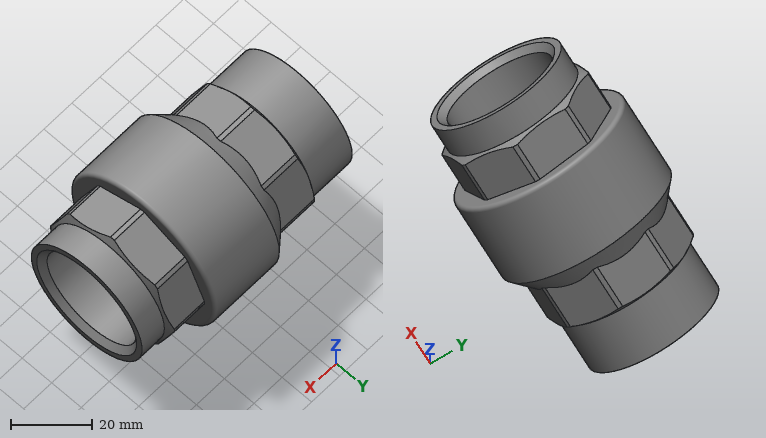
import cadquery as cq
import math

length = 75.0
left_nut_start = 14.5
cone_end = 32.1
body_end = 55.05
right_nut_end = 67.05

tube_radius = 18.75
body_radius = 24.5
cone_angle = 40.0
body_edge_radius = 1.1
nut_sides = 8
nut_flat_distance = 19.6
nut_corner_radius = 20.9
nut_chamfer_angle = 60.0

socket_radius = 15.1
socket_depth = 24.0
socket_chamfer = 1.8
bore_radius = 13.05


def revolve_profile(points):
    """Revolve (axial position, radius) points around the X axis."""
    return cq.Workplane("XY").polyline(points).close().revolve(360, (0, 0, 0), (1, 0, 0))


def make_nuts():
    """Octagonal bar with turned corners and both ends chamfered down to the tube."""
    corner_distance = nut_flat_distance / math.cos(math.pi / nut_sides)
    octagon = [
        (
            corner_distance * math.cos(2 * math.pi * i / nut_sides),
            corner_distance * math.sin(2 * math.pi * i / nut_sides),
        )
        for i in range(nut_sides)
    ]
    bar = (
        cq.Workplane("YZ", origin=(left_nut_start, 0, 0))
        .polyline(octagon)
        .close()
        .extrude(right_nut_end - left_nut_start)
    )
    chamfer_length = (nut_corner_radius - tube_radius) / math.tan(math.radians(nut_chamfer_angle))
    envelope = revolve_profile([
        (left_nut_start, 0),
        (left_nut_start, tube_radius),
        (left_nut_start + chamfer_length, nut_corner_radius),
        (right_nut_end - chamfer_length, nut_corner_radius),
        (right_nut_end, tube_radius),
        (right_nut_end, 0),
    ])
    return bar.intersect(envelope)


def make_body():
    """Central barrel with a cone on the left and a rounded edge on the right."""
    cone_length = (body_radius - tube_radius) / math.tan(math.radians(cone_angle))
    barrel = revolve_profile([
        (cone_end - cone_length, 0),
        (cone_end - cone_length, tube_radius),
        (cone_end, body_radius),
        (body_end, body_radius),
        (body_end, 0),
    ])
    return barrel.faces(">X").edges().fillet(body_edge_radius)


def make_passage():
    """Through bore with a chamfered socket at each end."""
    mouth_radius = socket_radius + socket_chamfer
    return revolve_profile([
        (0, 0),
        (0, mouth_radius),
        (socket_chamfer, socket_radius),
        (socket_depth, socket_radius),
        (socket_depth, bore_radius),
        (length - socket_depth, bore_radius),
        (length - socket_depth, socket_radius),
        (length - socket_chamfer, socket_radius),
        (length, mouth_radius),
        (length, 0),
    ])


tube = cq.Workplane("YZ").circle(tube_radius).extrude(length)
result = tube.union(make_nuts()).union(make_body()).cut(make_passage())